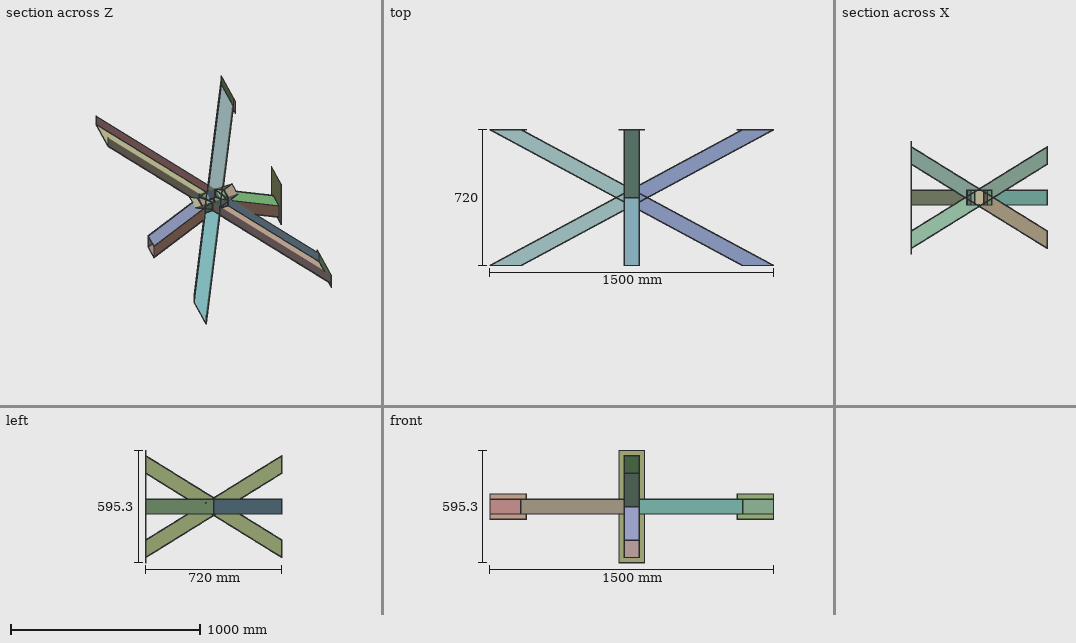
import cadquery as cq
import math

overall_width = 1500.0
overall_depth = 720.0
overall_height = 595.33

tube_size = 80.0
tube_wall = 2.0
plate_thickness = 2.0

flat_span = 1507.2
upright_span = 540.0

plate_margin = (overall_height - upright_span) / 2
plate_width = tube_size + 2 * plate_margin

back_y = overall_depth / 2


def end_length(span):
    """Length of a leg's slanted end, measured along the spread of its pair.

    A leg drifts sideways by span - end over the full depth, so the end satisfies
    end * overall_depth = tube_size * hypot(overall_depth, span - end).
    """
    a = overall_depth**2 - tube_size**2
    half_b = tube_size**2 * span
    c = tube_size**2 * (overall_depth**2 + span**2)
    return (math.sqrt(half_b**2 + a * c) - half_b) / a


def slanted_bar(span, direction, inset):
    """Square bar drifting sideways from front to back, its long faces moved in by inset."""
    end = end_length(span)
    slanted_inset = inset * end / tube_size
    outer = direction * (span / 2 - slanted_inset)
    inner = direction * (span / 2 - end + slanted_inset)
    outline = [(-outer, -back_y), (-inner, -back_y), (outer, back_y), (inner, back_y)]
    half_height = tube_size / 2 - inset
    return cq.Workplane("XY").polyline(outline).close().extrude(half_height, both=True)


def leg(span, direction):
    """Hollow tube leg, open at both ends."""
    return slanted_bar(span, direction, 0).cut(slanted_bar(span, direction, tube_wall))


def crossing_legs(span):
    """Two mirrored legs that cross at the origin in the XY plane."""
    return leg(span, 1).union(leg(span, -1))


def flat_legs():
    """Horizontal pair with its tips trimmed to the overall width."""
    envelope = cq.Workplane("XY").box(overall_width, overall_depth, tube_size)
    return crossing_legs(flat_span).intersect(envelope)


def upright_legs():
    """Vertical pair, turned about Y out of the horizontal plane."""
    return crossing_legs(upright_span).rotate((0, 0, 0), (0, 1, 0), 90)


def plate(center_x, size_x, size_z):
    center = (center_x, back_y - plate_thickness / 2, 0)
    return cq.Workplane("XY").box(size_x, plate_thickness, size_z).translate(center)


def mounting_plates():
    """One tall plate for the upright legs and one plate at each side for the flat legs."""
    plates = plate(0, plate_width, overall_height)
    side_outer_x = overall_width / 2
    side_inner_x = flat_span / 2 - end_length(flat_span) - plate_margin
    side_length = side_outer_x - side_inner_x
    side_center_x = (side_outer_x + side_inner_x) / 2
    for side in (-1, 1):
        plates = plates.union(plate(side * side_center_x, side_length, plate_width))
    return plates


result = flat_legs().union(upright_legs()).union(mounting_plates())